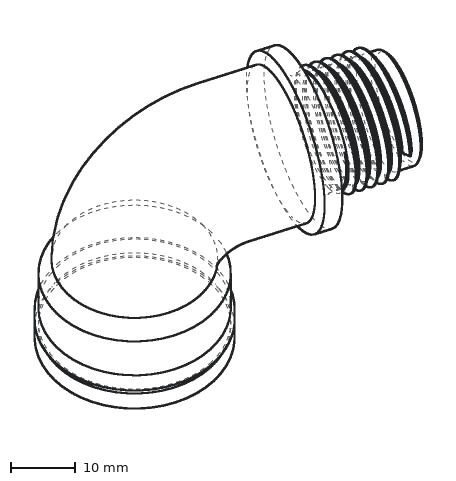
import cadquery as cq


overall_length = 60.2
overall_height = 47.5

socket_radius = 29.8 / 2
flange_radius = socket_radius

tube_radius = 25.75 / 2
bend_radius = 15.05

socket_end = overall_height - flange_radius
socket_cone_length = 3.15
ring_radius = 31.0 / 2
ring_width = 3.0
ring_gap = 0.95
ring_edge_fillet = 0.5

spigot_end = overall_length - ring_radius
spigot_radius = 18.9 / 2
spigot_chamfer = 0.5
flange_offset = 16.15
flange_thickness = 3.0
flange_cone_length = 0.7
flange_root_fillet = 1.5

six_turn_length = 11.0
thread_pitch = six_turn_length / 6
thread_root_radius = 18.65 / 2
thread_crest_radius = 21.2 / 2
thread_base_width = 1.7
thread_crest_width = 0.2
thread_start = 2.7
thread_end = 13.05


def make_bend():
    """Quarter torus joining the two straight legs."""
    section = cq.Workplane("XY", origin=(0, 0, -bend_radius)).circle(tube_radius)
    return section.revolve(90, (0.6, bend_radius, 0), (-0.6, bend_radius, 0))


def make_ring(bottom):
    """Rounded band around the socket."""
    ring = cq.Workplane("XY", origin=(0, 0, bottom)).circle(ring_radius).extrude(ring_width)
    return ring.edges().fillet(ring_edge_fillet)


def make_socket():
    """Conical shoulder, cylindrical socket and two bands at its mouth."""
    shoulder_end = -bend_radius - socket_cone_length
    socket = (
        cq.Workplane("XZ")
        .moveTo(0, -bend_radius)
        .lineTo(tube_radius, -bend_radius)
        .lineTo(socket_radius, shoulder_end)
        .lineTo(socket_radius, -socket_end + ring_edge_fillet)
        .lineTo(0, -socket_end + ring_edge_fillet)
        .close()
        .revolve(360, (0, 0), (0, 1))
    )
    for index in range(2):
        socket = socket.union(make_ring(-socket_end + index * (ring_width + ring_gap)))
    return socket


def make_spigot():
    """Straight tube, flange with a conical front and plain spigot, turned about the Y axis."""
    flange_back = spigot_end - flange_offset
    flange_front = flange_back - flange_thickness
    fillet_side = flange_root_fillet * 0.5 ** 0.5
    fillet_middle = (
        spigot_radius + flange_root_fillet - fillet_side,
        flange_back + flange_root_fillet - fillet_side,
    )
    return (
        cq.Workplane("XY")
        .moveTo(0, bend_radius)
        .lineTo(tube_radius, bend_radius)
        .lineTo(tube_radius, flange_front - flange_cone_length)
        .lineTo(flange_radius, flange_front)
        .lineTo(flange_radius, flange_back)
        .lineTo(spigot_radius + flange_root_fillet, flange_back)
        .threePointArc(fillet_middle, (spigot_radius, flange_back + flange_root_fillet))
        .lineTo(spigot_radius, spigot_end - spigot_chamfer)
        .lineTo(spigot_radius - spigot_chamfer, spigot_end)
        .lineTo(0, spigot_end)
        .close()
        .revolve(360, (0, 0), (0, 1))
    )


def make_thread():
    """Right-hand helical ridge, cut off square at its flange end."""
    helix_height = thread_end - thread_start + thread_pitch / 2
    helix = cq.Workplane(obj=cq.Wire.makeHelix(thread_pitch, helix_height, thread_root_radius))
    ridge = (
        cq.Workplane("XZ")
        .moveTo(thread_root_radius, -thread_base_width / 2)
        .lineTo(thread_crest_radius, -thread_crest_width / 2)
        .lineTo(thread_crest_radius, thread_crest_width / 2)
        .lineTo(thread_root_radius, thread_base_width / 2)
        .close()
        .sweep(helix, isFrenet=True)
        .translate((0, 0, thread_start))
    )
    threaded_length = cq.Workplane("XY").circle(2 * thread_crest_radius).extrude(thread_end)
    trimmed = ridge.intersect(threaded_length)
    return trimmed.rotate((0, 0, 0), (1, 0, 0), 90).translate((0, spigot_end, 0))


result = make_bend().union(make_socket()).union(make_spigot()).union(make_thread())